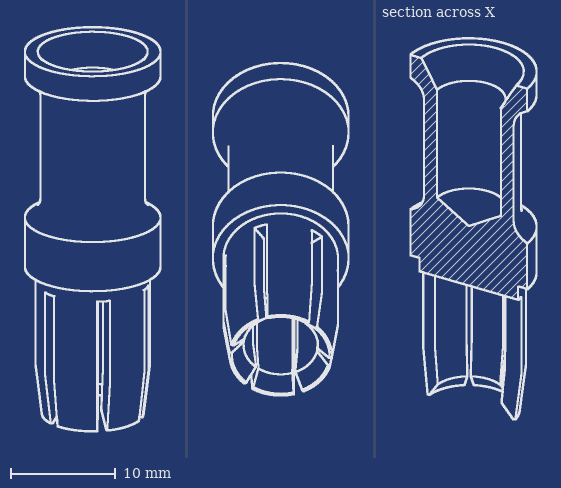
import cadquery as cq
import math

LENGTH = 37.0
FLANGE_DIAMETER = 13.0
FLANGE_RADIUS = FLANGE_DIAMETER / 2
NECK_RADIUS = 5.0
SLEEVE_RADIUS = 5.48
TIP_RADIUS = 4.9

TAPER_TOP = 5.0
SLOT_TOP = 13.5
COLLAR_BOTTOM = 15.0
COLLAR_TOP = 20.0
RIM_BOTTOM = 34.5

SHOULDER_ROUND = 2.0
SHOULDER_SLOPE = math.radians(30)

SOCKET_RADIUS = 3.5
SOCKET_MOUTH_RADIUS = 5.25
SOCKET_MOUTH_DEPTH = 3.0
SOCKET_BOTTOM = 22.2
DRILL_HALF_ANGLE = math.radians(59)

BORE_RADIUS = 3.9
BORE_THROAT_RADIUS = 3.55
BORE_MOUTH_RADIUS = 4.65
FLARE_HEIGHT = 1.6
THROAT_TOP = 2.0
BORE_TAPER_TOP = 5.5

SLOT_COUNT = 6
SLOT_OUTER_WIDTH = 1.3
SLOT_INNER_WIDTH = 0.48


def shoulder_points(flat_height, direction):
    """Points from the flange edge to the neck; direction is +1 for up, -1 for down."""
    def point(angle):
        radius = NECK_RADIUS + SHOULDER_ROUND * (1 - math.cos(angle))
        return radius, round_start - direction * SHOULDER_ROUND * math.sin(angle)

    end_angle = math.pi / 2 - SHOULDER_SLOPE
    cone_radius = NECK_RADIUS + SHOULDER_ROUND * (1 - math.cos(end_angle))
    cone_height = (FLANGE_RADIUS - cone_radius) * math.tan(SHOULDER_SLOPE)
    round_start = flat_height + direction * (cone_height + SHOULDER_ROUND * math.sin(end_angle))
    return point(end_angle), point(end_angle / 2), point(0)


def make_body():
    lower_cone, lower_middle, lower_neck = shoulder_points(COLLAR_TOP, 1)
    upper_cone, upper_middle, upper_neck = shoulder_points(RIM_BOTTOM, -1)
    profile = (
        cq.Workplane("XZ")
        .lineTo(TIP_RADIUS, 0)
        .lineTo(SLEEVE_RADIUS, TAPER_TOP)
        .lineTo(SLEEVE_RADIUS, COLLAR_BOTTOM)
        .lineTo(FLANGE_RADIUS, COLLAR_BOTTOM)
        .lineTo(FLANGE_RADIUS, COLLAR_TOP)
        .lineTo(*lower_cone)
        .threePointArc(lower_middle, lower_neck)
        .lineTo(*upper_neck)
        .threePointArc(upper_middle, upper_cone)
        .lineTo(FLANGE_RADIUS, RIM_BOTTOM)
        .lineTo(FLANGE_RADIUS, LENGTH)
        .lineTo(0, LENGTH)
        .close()
    )
    return profile.revolve(360, (0, 0, 0), (0, 1, 0))


def revolve_outline(points):
    return cq.Workplane("XZ").polyline(points).close().revolve(360, (0, 0, 0), (0, 1, 0))


def make_socket():
    drill_point = SOCKET_RADIUS / math.tan(DRILL_HALF_ANGLE)
    return revolve_outline([
        (0, SOCKET_BOTTOM - drill_point),
        (SOCKET_RADIUS, SOCKET_BOTTOM),
        (SOCKET_RADIUS, LENGTH - SOCKET_MOUTH_DEPTH),
        (SOCKET_MOUTH_RADIUS, LENGTH),
        (0, LENGTH),
    ])


def make_contact_bore():
    return revolve_outline([
        (0, 0),
        (BORE_MOUTH_RADIUS, 0),
        (BORE_THROAT_RADIUS, FLARE_HEIGHT),
        (BORE_THROAT_RADIUS, THROAT_TOP),
        (BORE_RADIUS, BORE_TAPER_TOP),
        (BORE_RADIUS, SLOT_TOP),
        (0, SLOT_TOP),
    ])


def make_slot():
    """Wedge on the +Y side whose flat walls close to a line inside the bore."""
    widening = (SLOT_OUTER_WIDTH - SLOT_INNER_WIDTH) / (SLEEVE_RADIUS - BORE_RADIUS)
    apex = BORE_RADIUS - SLOT_INNER_WIDTH / widening
    reach = FLANGE_RADIUS
    half_width = widening * (reach - apex) / 2
    outline = [(0, apex), (half_width, reach), (-half_width, reach)]
    return cq.Workplane("XY").polyline(outline).close().extrude(SLOT_TOP)


result = make_body().cut(make_socket()).cut(make_contact_bore())
slot = make_slot()
for index in range(SLOT_COUNT):
    result = result.cut(slot.rotate((0, 0, 0), (0, 0, 1), index * 360 / SLOT_COUNT))